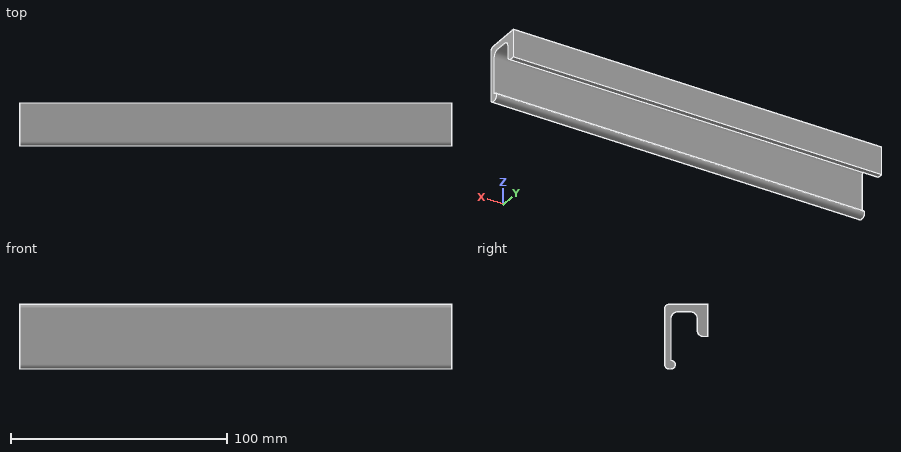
import cadquery as cq

length = 200.0
depth = 20.0
height = 30.0
roof_thickness = 3.5
front_wall = 3.0
back_wall = 5.0
back_height = 15.0
lip_height = 4.0

outer_radius = 2.0
channel_radius = 3.0
back_tip_radius = 3.0
lip_radius = lip_height / 2

front = -depth / 2
back = depth / 2
bottom = -height / 2
top = height / 2
roof_underside = top - roof_thickness
front_inner = front + front_wall
back_inner = back - back_wall
back_tip = top - back_height
lip_inner = front_inner + lip_radius
lip_top = bottom + lip_height


def make_profile_body():
    """Extrude the J-shaped section, with its half-round lip, along the rail."""
    section = (
        cq.Workplane("YZ")
        .moveTo(front, bottom)
        .lineTo(front_inner, bottom)
        .threePointArc((lip_inner, bottom + lip_radius), (front_inner, lip_top))
        .lineTo(front_inner, roof_underside)
        .lineTo(back_inner, roof_underside)
        .lineTo(back_inner, back_tip)
        .lineTo(back, back_tip)
        .lineTo(back, top)
        .lineTo(front, top)
        .close()
    )
    return section.extrude(length / 2, both=True)


def round_long_edge(body, y, z, radius):
    """Fillet the lengthwise edge passing through (y, z)."""
    edge = cq.selectors.NearestToPointSelector((0, y, z))
    return body.edges("|X").edges(edge).fillet(radius)


rounded_corners = [
    (front, top, outer_radius),
    (front, bottom, outer_radius),
    (front_inner, roof_underside, channel_radius),
    (back_inner, roof_underside, channel_radius),
    (back_inner, back_tip, back_tip_radius),
]

result = make_profile_body()
for corner_y, corner_z, corner_radius in rounded_corners:
    result = round_long_edge(result, corner_y, corner_z, corner_radius)